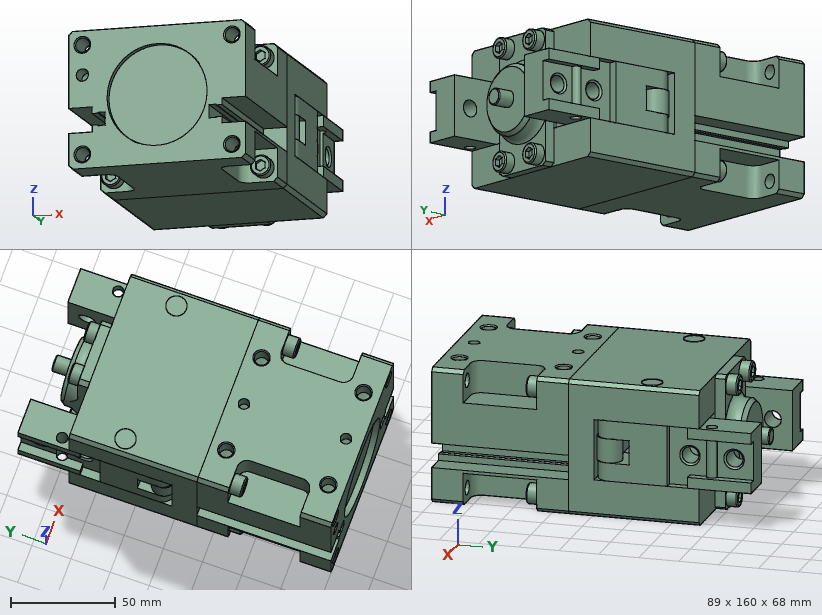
import cadquery as cq
import math

WIDTH = 89.0
HEIGHT = 68.0
HALF_WIDTH = WIDTH / 2
HALF_HEIGHT = HEIGHT / 2
FRONT_LENGTH = 68.5
HOUSING_END = 134.0
JAW_TIP = 160.0
EDGE_CHAMFER = 2.0

SCREW_HEAD_RADIUS = 5.1
BLOCK_SCREW_LENGTH = 6.0
PLATE_SCREW_LENGTH = 5.6
SCREW_HEAD_CHAMFER = 0.6
SOCKET_FLATS = 5.0
SOCKET_DEPTH = 2.4

SCREW_X = 37.6
SCREW_Z = 27.0
POCKET_FRONT = 15.8
POCKET_BACK = 52.6
POCKET_INNER_X = 26.2
POCKET_FLOOR_Z = 17.8
POCKET_CORNER_RADIUS = 5.1
ACCESS_HOLE_RADIUS = 3.5
HOLE_CHAMFER = 0.6
PORT_Z = 12.2
PORT_RADIUS = 3.0
PORT_DEPTH = 9.6
PISTON_RECESS_RADIUS = 25.1
PISTON_RECESS_DEPTH = 3.2
RAIL_SLOT_Z = -10.0
RAIL_MOUTH_X = 32.6
RAIL_NECK_X = 29.6
RAIL_HEAD_X = 26.0
RAIL_MOUTH_HEIGHT = 12.3
RAIL_NECK_HEIGHT = 5.8
RAIL_HEAD_HEIGHT = 6.5
MOUNT_HOLE_X = 25.0
MOUNT_HOLE_YS = (8.3, 60.5)
MOUNT_HOLE_RADIUS = 3.5
MOUNT_HOLE_DEPTH = 9.6
DOWEL_HOLE_RADIUS = 2.7
DOWEL_HOLE_DEPTH = 8.0
DRILL_POINT_ANGLE = 118.0

JAW_SLOT_FRONT = 81.3
JAW_HEIGHT = 30.4
PIVOT_X = 36.0
PIVOT_Y = 108.0
PIVOT_RECESS_RADIUS = 5.1
PIVOT_RECESS_DEPTH = 0.3

JAW_INNER_X = 26.2
JAW_END_GAP = 0.3
JAW_NOSE_RADIUS = 7.0
JAW_RECESS_DEPTH = 4.3
JAW_RECESS_FRONT = 118.0
LIP_FRONT = 128.2
LIP_HEIGHT = 5.5
TOOL_HOLE_YS = (128.2, 150.2)
TOOL_HOLE_RADIUS = 4.2
TOOL_HOLE_CHAMFER = 1.0
CROSS_HOLE_X = 39.7
CROSS_HOLE_Y = 139.0
CROSS_HOLE_RADIUS = 2.7
FORK_HEIGHT = 12.2
FORK_BACK = 98.9

YOKE_EYE_RADIUS = 6.2
YOKE_EYE_X = HALF_WIDTH - YOKE_EYE_RADIUS
YOKE_EYE_Y = JAW_SLOT_FRONT + YOKE_EYE_RADIUS
YOKE_BAR_WIDTH = 9.6

PLATE_WIDTH = 34.5
PLATE_THICKNESS = 5.3
PLATE_FRONT_FACE = HOUSING_END
PLATE_REAR_FACE = PLATE_FRONT_FACE + PLATE_THICKNESS
PLATE_CORNER = 2.5
PLATE_CORNER_Z = 1.6
PLATE_SCREW_X = 11.2
PLATE_SCREW_Z = 28.2
BOSS_FOOT_RADIUS = 20.6
BOSS_RADIUS = 17.8
BOSS_TOP_RADIUS = 16.0
BOSS_FLARE_END = 143.8
BOSS_CHAMFER_START = 146.0
BOSS_END = 148.3
BUTTON_RADIUS = 4.2
BUTTON_END = 157.3
BUTTON_CHAMFER = 0.5


def box_between(x_range, y_range, z_range):
    """Box given by its limits along each axis."""
    size = [high - low for low, high in (x_range, y_range, z_range)]
    corner = cq.Vector(x_range[0], y_range[0], z_range[0])
    return cq.Workplane(cq.Solid.makeBox(*size, corner))


def rod(start, direction, radius, length):
    """Cylinder from a start point along a direction."""
    solid = cq.Solid.makeCylinder(radius, length, cq.Vector(*start), cq.Vector(*direction))
    return cq.Workplane(solid)


def entry_cone(start, direction, radius, chamfer):
    """Chamfer cutter at the mouth of a hole."""
    solid = cq.Solid.makeCone(
        radius + chamfer, radius, chamfer, cq.Vector(*start), cq.Vector(*direction)
    )
    return cq.Workplane(solid)


def drilled_hole(start, direction, radius, depth):
    """Blind hole with a conical drill point."""
    point_length = radius / math.tan(math.radians(DRILL_POINT_ANGLE / 2))
    axis = cq.Vector(*direction)
    tip = cq.Solid.makeCone(radius, 0, point_length, cq.Vector(*start) + axis * depth, axis)
    return rod(start, direction, radius, depth).union(cq.Workplane(tip))


def mirrored_in_x(shape):
    return shape.mirror("YZ")


def long_block(y_start, y_end):
    """Full-section block along Y with its four long edges chamfered."""
    block = box_between((-HALF_WIDTH, HALF_WIDTH), (y_start, y_end), (-HALF_HEIGHT, HALF_HEIGHT))
    return block.edges("|Y").chamfer(EDGE_CHAMFER)


def screw_head(x, seat_y, z, facing, length):
    """Socket head standing on a face at seat_y; facing is +1 or -1 along Y."""
    plane = cq.Plane(origin=(x, seat_y, z), xDir=(0, 0, 1), normal=(0, facing, 0))
    head = cq.Workplane(plane).circle(SCREW_HEAD_RADIUS).extrude(length)
    head = head.faces(cq.selectors.DirectionMinMaxSelector(cq.Vector(0, facing, 0), True))
    head = head.chamfer(SCREW_HEAD_CHAMFER)
    socket_diameter = SOCKET_FLATS / math.cos(math.pi / 6)
    socket = (
        cq.Workplane(plane)
        .workplane(offset=length - SOCKET_DEPTH)
        .polygon(6, socket_diameter)
        .extrude(SOCKET_DEPTH)
    )
    return head.cut(socket)


def screw_pocket(side, level):
    """Pocket for one screw head, open to the side and to the top or bottom."""
    pocket = box_between(
        (POCKET_INNER_X, WIDTH), (POCKET_FRONT, POCKET_BACK), (POCKET_FLOOR_Z, HEIGHT)
    )
    pocket = pocket.edges("|Z and <X").fillet(POCKET_CORNER_RADIUS)
    if side < 0:
        pocket = pocket.mirror("YZ")
    if level < 0:
        pocket = pocket.mirror("XY")
    return pocket


def rail_slot():
    """Stepped slot along the +X side of the front block."""
    steps = [
        (RAIL_HEAD_X, RAIL_NECK_X, RAIL_HEAD_HEIGHT),
        (RAIL_NECK_X, RAIL_MOUTH_X, RAIL_NECK_HEIGHT),
        (RAIL_MOUTH_X, HALF_WIDTH, RAIL_MOUTH_HEIGHT),
    ]
    slot = cq.Workplane()
    for inner_x, outer_x, height in steps:
        z_range = (RAIL_SLOT_Z - height / 2, RAIL_SLOT_Z + height / 2)
        slot = slot.union(box_between((inner_x, outer_x), (0, FRONT_LENGTH), z_range))
    return slot


def make_front_block():
    """Cylinder block with the four screws that hold it to the housing."""
    block = long_block(0, FRONT_LENGTH)
    inward = (0, 1, 0)
    down = (0, 0, -1)

    for side in (-1, 1):
        for level in (-1, 1):
            mouth = (side * SCREW_X, 0, level * SCREW_Z)
            block = block.cut(screw_pocket(side, level))
            block = block.cut(rod(mouth, inward, ACCESS_HOLE_RADIUS, POCKET_FRONT))
            block = block.cut(entry_cone(mouth, inward, ACCESS_HOLE_RADIUS, HOLE_CHAMFER))
            head = screw_head(side * SCREW_X, POCKET_BACK, level * SCREW_Z, -1, BLOCK_SCREW_LENGTH)
            block = block.union(head)

    block = block.cut(rail_slot()).cut(mirrored_in_x(rail_slot()))
    block = block.cut(rod((0, 0, 0), inward, PISTON_RECESS_RADIUS, PISTON_RECESS_DEPTH))
    block = block.cut(drilled_hole((-SCREW_X, 0, PORT_Z), inward, PORT_RADIUS, PORT_DEPTH))

    for y in MOUNT_HOLE_YS:
        for x in (-MOUNT_HOLE_X, MOUNT_HOLE_X):
            mouth = (x, y, HALF_HEIGHT)
            block = block.cut(drilled_hole(mouth, down, MOUNT_HOLE_RADIUS, MOUNT_HOLE_DEPTH))
            block = block.cut(entry_cone(mouth, down, MOUNT_HOLE_RADIUS, HOLE_CHAMFER))
        dowel_mouth = (0, y, HALF_HEIGHT)
        block = block.cut(drilled_hole(dowel_mouth, down, DOWEL_HOLE_RADIUS, DOWEL_HOLE_DEPTH))
    return block


def make_housing():
    """Rear housing with a slot across X for the jaws, open to the rear."""
    slot_z = (-JAW_HEIGHT / 2, JAW_HEIGHT / 2)
    housing = long_block(FRONT_LENGTH, HOUSING_END)
    jaw_slot = box_between((-HALF_WIDTH, HALF_WIDTH), (JAW_SLOT_FRONT, HOUSING_END), slot_z)
    housing = housing.cut(jaw_slot)
    for x in (-PIVOT_X, PIVOT_X):
        mouth = (x, PIVOT_Y, HALF_HEIGHT)
        housing = housing.cut(rod(mouth, (0, 0, -1), PIVOT_RECESS_RADIUS, PIVOT_RECESS_DEPTH))
    return housing


def make_jaw():
    """Jaw on the +X side."""
    half_height = JAW_HEIGHT / 2
    jaw_front = JAW_SLOT_FRONT + JAW_END_GAP
    jaw = box_between((JAW_INNER_X, HALF_WIDTH), (jaw_front, JAW_TIP), (-half_height, half_height))
    jaw = jaw.edges("|Z and >X and <Y").fillet(JAW_NOSE_RADIUS)

    floor_x = HALF_WIDTH - JAW_RECESS_DEPTH
    recess_x = (floor_x, HALF_WIDTH)
    groove_half_height = half_height - LIP_HEIGHT
    jaw = jaw.cut(box_between(recess_x, (JAW_RECESS_FRONT, LIP_FRONT), (-half_height, half_height)))
    jaw = jaw.cut(box_between(recess_x, (LIP_FRONT, JAW_TIP), (-groove_half_height, groove_half_height)))

    for y in TOOL_HOLE_YS:
        mouth = (floor_x, y, 0)
        jaw = jaw.cut(rod(mouth, (-1, 0, 0), TOOL_HOLE_RADIUS, floor_x - JAW_INNER_X))
        jaw = jaw.cut(entry_cone(mouth, (-1, 0, 0), TOOL_HOLE_RADIUS, TOOL_HOLE_CHAMFER))

    cross_start = (CROSS_HOLE_X, CROSS_HOLE_Y, -half_height)
    jaw = jaw.cut(rod(cross_start, (0, 0, 1), CROSS_HOLE_RADIUS, JAW_HEIGHT))

    fork = box_between(
        (JAW_INNER_X, HALF_WIDTH), (jaw_front, FORK_BACK), (-FORK_HEIGHT / 2, FORK_HEIGHT / 2)
    )
    return jaw.cut(fork)


def make_yoke():
    """Bar that links the two jaws, with a round eye in the fork of each."""
    bar_y = (JAW_SLOT_FRONT, JAW_SLOT_FRONT + YOKE_BAR_WIDTH)
    yoke = box_between((-YOKE_EYE_X, YOKE_EYE_X), bar_y, (-FORK_HEIGHT / 2, FORK_HEIGHT / 2))
    for x in (-YOKE_EYE_X, YOKE_EYE_X):
        eye_start = (x, YOKE_EYE_Y, -FORK_HEIGHT / 2)
        yoke = yoke.union(rod(eye_start, (0, 0, 1), YOKE_EYE_RADIUS, FORK_HEIGHT))
    return yoke


def plate_blank(thickness):
    """Plate outline with chamfered corners, extruded along +Y from the housing."""
    half_width = PLATE_WIDTH / 2
    shoulder_x = half_width - PLATE_CORNER
    shoulder_z = HALF_HEIGHT - PLATE_CORNER_Z
    plane = cq.Plane(origin=(0, PLATE_FRONT_FACE, 0), xDir=(-1, 0, 0), normal=(0, 1, 0))
    return (
        cq.Workplane(plane)
        .moveTo(half_width, -shoulder_z)
        .lineTo(half_width, shoulder_z)
        .lineTo(shoulder_x, HALF_HEIGHT)
        .lineTo(-shoulder_x, HALF_HEIGHT)
        .lineTo(-half_width, shoulder_z)
        .lineTo(-half_width, -shoulder_z)
        .lineTo(-shoulder_x, -HALF_HEIGHT)
        .lineTo(shoulder_x, -HALF_HEIGHT)
        .close()
        .extrude(thickness)
    )


def make_end_plate():
    """Rear plate with a flared boss, a central button and four screws."""
    boss = (
        cq.Workplane("XY")
        .moveTo(0, PLATE_REAR_FACE)
        .lineTo(0, BOSS_END)
        .lineTo(BOSS_TOP_RADIUS, BOSS_END)
        .lineTo(BOSS_RADIUS, BOSS_CHAMFER_START)
        .lineTo(BOSS_RADIUS, BOSS_FLARE_END)
        .tangentArcPoint((BOSS_FOOT_RADIUS, PLATE_REAR_FACE), relative=False)
        .close()
        .revolve(360, (0, 0), (0, 1))
    )
    boss = boss.intersect(plate_blank(BOSS_END - PLATE_FRONT_FACE))

    button = rod((0, BOSS_END, 0), (0, 1, 0), BUTTON_RADIUS, BUTTON_END - BOSS_END)
    button = button.faces(">Y").chamfer(BUTTON_CHAMFER)

    plate = plate_blank(PLATE_THICKNESS).union(boss).union(button)
    for x in (-PLATE_SCREW_X, PLATE_SCREW_X):
        for z in (-PLATE_SCREW_Z, PLATE_SCREW_Z):
            head = screw_head(x, PLATE_REAR_FACE, z, 1, PLATE_SCREW_LENGTH)
            plate = plate.union(head)
    return plate


front_block = make_front_block()
housing = make_housing()
right_jaw = make_jaw()
jaws = [right_jaw, mirrored_in_x(right_jaw)]
yoke = make_yoke()
end_plate = make_end_plate()

result = cq.Compound.makeCompound(
    [front_block.val(), housing.val(), *[jaw.val() for jaw in jaws], yoke.val(), end_plate.val()]
)